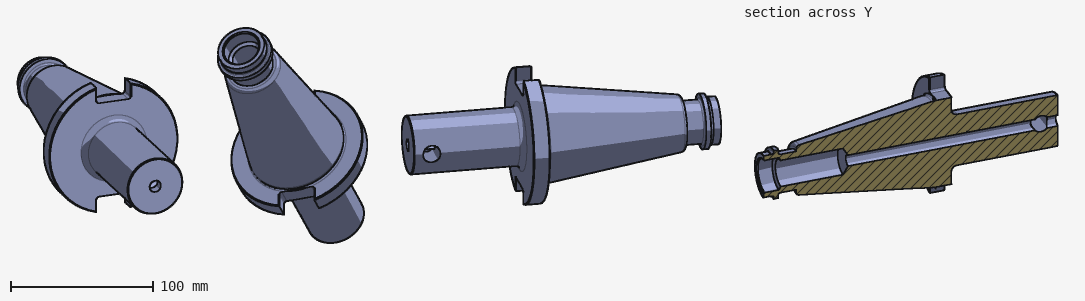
import cadquery as cq
import math

total_length = 222.0
retention_ring_start = 7.8
retention_ring_end = 11.3
taper_start = 24.6
gauge_plane = 126.8
flange_start = 129.9
flange_end = flange_start + 12.0

nose_radius = 17.0
nose_land_start = 5.5
nose_land_height = 0.2
nose_land_radius = nose_radius + nose_land_height
retention_ring_radius = 19.8
neck_radius = 15.8
gauge_radius = 35.0
flange_radius = 48.6
shank_radius = 20.9

taper_slope = 3.5 / 24
taper_nose_round = 2.7
ring_front_round = 0.7
ring_back_round = 1.3
flange_root_round = 1.0
flange_chamfer = 0.7
shank_root_round = 4.0
shank_end_chamfer = 0.7

slot_width = 25.8
slot_floor_height = 35.3
slot_corner_round = 1.8
slot_mouth_chamfer = 0.7

mouth_radius = 13.8
mouth_chamfer = 0.9
counterbore_radius = mouth_radius - mouth_chamfer
counterbore_depth = 11.5
thread_hole_radius = 10.5
thread_hole_depth = 60.0
through_hole_radius = 4.2
drill_point_angle = 118.0

screw_hole_radius = 6.2
screw_hole_station = 209.1


def revolve_about_x(profile):
    return profile.close().revolve(360, (0, 0, 0), (1, 0, 0))


def root_round_to_wall(profile, wall_station, radius, size):
    """Run along a cylinder, then curve outward into the wall that stands on it."""
    inset = size * (1 - math.sqrt(0.5))
    return (
        profile.lineTo(wall_station - size, radius)
        .threePointArc((wall_station - inset, radius + inset), (wall_station, radius + size))
    )


def root_round_from_wall(profile, wall_station, radius, size):
    """Run down a wall, then curve onto the cylinder at its foot."""
    inset = size * (1 - math.sqrt(0.5))
    return (
        profile.lineTo(wall_station, radius + size)
        .threePointArc((wall_station + inset, radius + inset), (wall_station + size, radius))
    )


def turned_body():
    taper_start_radius = gauge_radius - taper_slope * (gauge_plane - taper_start)
    profile = (
        cq.Workplane("XY")
        .lineTo(0, nose_radius)
        .lineTo(nose_land_start, nose_radius)
        .lineTo(nose_land_start, nose_land_radius)
    )
    profile = root_round_to_wall(profile, retention_ring_start, nose_land_radius, ring_front_round)
    profile = (
        profile.lineTo(retention_ring_start, retention_ring_radius)
        .lineTo(retention_ring_end, retention_ring_radius)
    )
    profile = root_round_from_wall(profile, retention_ring_end, neck_radius, ring_back_round)
    profile = (
        profile.lineTo(taper_start, neck_radius)
        .lineTo(taper_start, taper_start_radius)
        .lineTo(gauge_plane, gauge_radius)
    )
    profile = root_round_to_wall(profile, flange_start, gauge_radius, flange_root_round)
    profile = (
        profile.lineTo(flange_start, flange_radius - flange_chamfer)
        .lineTo(flange_start + flange_chamfer, flange_radius)
        .lineTo(flange_end - flange_chamfer, flange_radius)
        .lineTo(flange_end, flange_radius - flange_chamfer)
    )
    profile = root_round_from_wall(profile, flange_end, shank_radius, shank_root_round)
    profile = (
        profile.lineTo(total_length - shank_end_chamfer, shank_radius)
        .lineTo(total_length, shank_radius - shank_end_chamfer)
        .lineTo(total_length, 0)
    )
    selection_margin = 0.2
    small_end_edges = cq.selectors.BoxSelector(
        (taper_start - selection_margin, -gauge_radius, -gauge_radius),
        (taper_start + selection_margin, gauge_radius, gauge_radius),
        boundingbox=True,
    )
    body = revolve_about_x(profile)
    small_end_rim = cq.selectors.RadiusNthSelector(-1)
    return body.edges(small_end_edges).edges(small_end_rim).fillet(taper_nose_round)


def nose_bore():
    point_slope = math.tan(math.radians(drill_point_angle / 2))
    step_length = (counterbore_radius - thread_hole_radius) / point_slope
    point_length = (thread_hole_radius - through_hole_radius) / point_slope
    profile = (
        cq.Workplane("XY")
        .lineTo(0, mouth_radius)
        .lineTo(mouth_chamfer, counterbore_radius)
        .lineTo(counterbore_depth, counterbore_radius)
        .lineTo(counterbore_depth + step_length, thread_hole_radius)
        .lineTo(thread_hole_depth, thread_hole_radius)
        .lineTo(thread_hole_depth + point_length, through_hole_radius)
        .lineTo(total_length, through_hole_radius)
        .lineTo(total_length, 0)
    )
    return revolve_about_x(profile)


def drive_slot():
    """Cutter for the +Z flange slot, with chamfers where its side walls meet the flange faces."""
    slot_height = flange_radius - slot_floor_height
    half_width = slot_width / 2
    mouth_half_width = half_width + slot_mouth_chamfer
    channel = (
        cq.Workplane("XY")
        .box(flange_end - flange_start, slot_width, slot_height)
        .edges("|X and <Z")
        .fillet(slot_corner_round)
        .translate(((flange_start + flange_end) / 2, 0, slot_floor_height + slot_height / 2))
    )
    flared_walls = (
        cq.Workplane("XY", origin=(0, 0, slot_floor_height + slot_corner_round))
        .moveTo(flange_start, 0)
        .lineTo(flange_start, mouth_half_width)
        .lineTo(flange_start + slot_mouth_chamfer, half_width)
        .lineTo(flange_end - slot_mouth_chamfer, half_width)
        .lineTo(flange_end, mouth_half_width)
        .lineTo(flange_end, 0)
        .mirrorX()
        .extrude(slot_height - slot_corner_round)
    )
    return channel.union(flared_walls)


def screw_hole():
    """Radial hole from the +Y side of the shank down to the through hole."""
    return (
        cq.Workplane("XZ")
        .center(screw_hole_station, 0)
        .circle(screw_hole_radius)
        .extrude(-shank_radius)
    )


upper_slot = drive_slot()
lower_slot = upper_slot.mirror("XY")
result = turned_body().cut(nose_bore()).cut(screw_hole()).cut(upper_slot).cut(lower_slot)